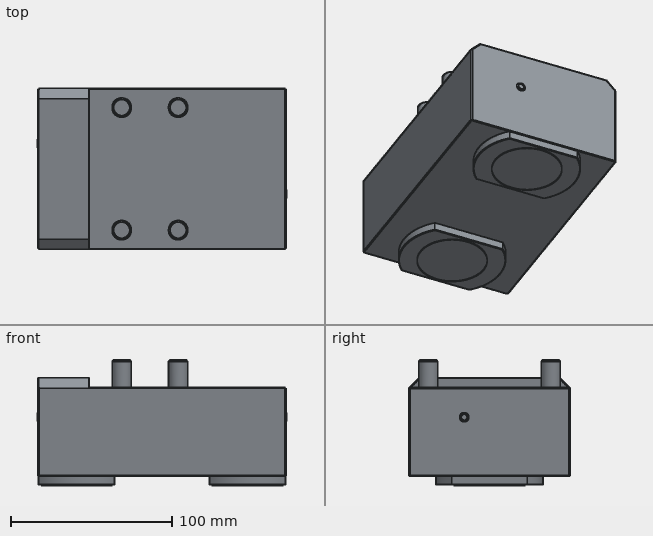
import cadquery as cq
import math

BODY_LENGTH = 154.0
BODY_WIDTH = 100.0
BODY_HEIGHT = 55.0
CORNER_CHAMFER = 1.0
EDGE_CHAMFER = 0.5
END_CHAMFER = 1.0

BLOCK_LENGTH = 32.0
BLOCK_RISE = 6.0
BLOCK_TOP = BODY_HEIGHT + BLOCK_RISE
BLOCK_BEVEL = BLOCK_RISE + EDGE_CHAMFER

PIN_DIAMETER = 12.0
PIN_TOP = 72.0
PIN_CHAMFER = 1.0
PIN_X_POSITIONS = (-25.0, 10.0)
PIN_Y_OFFSET = 38.0

FOOT_DIAMETER = 66.5
FOOT_LENGTH = 47.3
FOOT_X_OFFSET = 53.0
FOOT_THICKNESS = 5.5
FOOT_CHAMFER = 0.4
FOOT_PAD_DIAMETER = 43.5
FOOT_PAD_THICKNESS = 0.5

STUD_DIAMETER = 5.7
STUD_TIP_DIAMETER = 3.7
STUD_HEIGHT = 0.5
STUD_Y_OFFSET = 15.7
STUD_Z = 36.5


def housing():
    """Box with bevelled corners, stepped up to a raised block at the -X end."""
    base = (
        cq.Workplane("XY")
        .box(BODY_LENGTH, BODY_WIDTH, BODY_HEIGHT, centered=(True, True, False))
        .edges("|Z")
        .chamfer(CORNER_CHAMFER)
        .faces(">Z")
        .edges(">X")
        .chamfer(END_CHAMFER)
        .faces(">Z")
        .edges("|X")
        .chamfer(EDGE_CHAMFER)
        .faces("<Z")
        .edges()
        .chamfer(EDGE_CHAMFER)
    )
    return base.union(raised_block())


def raised_block():
    """Full-height block whose long top edges slope down to the housing top."""
    half_width = BODY_WIDTH / 2
    flat_half_width = half_width - BLOCK_BEVEL
    shoulder = BLOCK_TOP - BLOCK_BEVEL
    profile = [
        (-half_width, 0),
        (half_width, 0),
        (half_width, shoulder),
        (flat_half_width, BLOCK_TOP),
        (-flat_half_width, BLOCK_TOP),
        (-half_width, shoulder),
    ]
    return (
        cq.Workplane("YZ", origin=(-BODY_LENGTH / 2, 0, 0))
        .polyline(profile)
        .close()
        .extrude(BLOCK_LENGTH)
        .edges("<X and |Z")
        .chamfer(CORNER_CHAMFER)
        .faces("<X")
        .edges("not |Z")
        .chamfer(EDGE_CHAMFER)
        .faces(">X")
        .edges("not (|Z or <Z)")
        .chamfer(EDGE_CHAMFER)
        .faces("<Z")
        .edges("|X")
        .chamfer(EDGE_CHAMFER)
    )


def pins():
    """Four chamfered pins standing on the housing top."""
    positions = [(x, side * PIN_Y_OFFSET) for x in PIN_X_POSITIONS for side in (-1, 1)]
    return (
        cq.Workplane("XY", origin=(0, 0, BODY_HEIGHT))
        .pushPoints(positions)
        .circle(PIN_DIAMETER / 2)
        .extrude(PIN_TOP - BODY_HEIGHT)
        .faces(">Z")
        .edges()
        .chamfer(PIN_CHAMFER)
    )


def foot(x_center):
    """Trimmed disc under the housing with a thin round pad below it."""
    center = (x_center, 0, 0)
    trim = cq.Workplane("XY", origin=center).rect(FOOT_LENGTH, FOOT_DIAMETER * 2).extrude(-FOOT_THICKNESS)
    disc = (
        cq.Workplane("XY", origin=center)
        .circle(FOOT_DIAMETER / 2)
        .extrude(-FOOT_THICKNESS)
        .intersect(trim)
        .faces("<Z")
        .edges()
        .chamfer(FOOT_CHAMFER)
    )
    pad = (
        cq.Workplane("XY", origin=(x_center, 0, -FOOT_THICKNESS))
        .circle(FOOT_PAD_DIAMETER / 2)
        .extrude(-FOOT_PAD_THICKNESS)
    )
    return disc.union(pad)


def stud(side):
    """Tapered stud on the +X (side = 1) or -X (side = -1) end face."""
    taper = math.degrees(math.atan2((STUD_DIAMETER - STUD_TIP_DIAMETER) / 2, STUD_HEIGHT))
    return (
        cq.Workplane("YZ", origin=(side * BODY_LENGTH / 2, -side * STUD_Y_OFFSET, STUD_Z))
        .circle(STUD_DIAMETER / 2)
        .extrude(side * STUD_HEIGHT, taper=taper)
    )


result = housing().union(pins())
for end in (-1, 1):
    result = result.union(foot(end * FOOT_X_OFFSET)).union(stud(end))